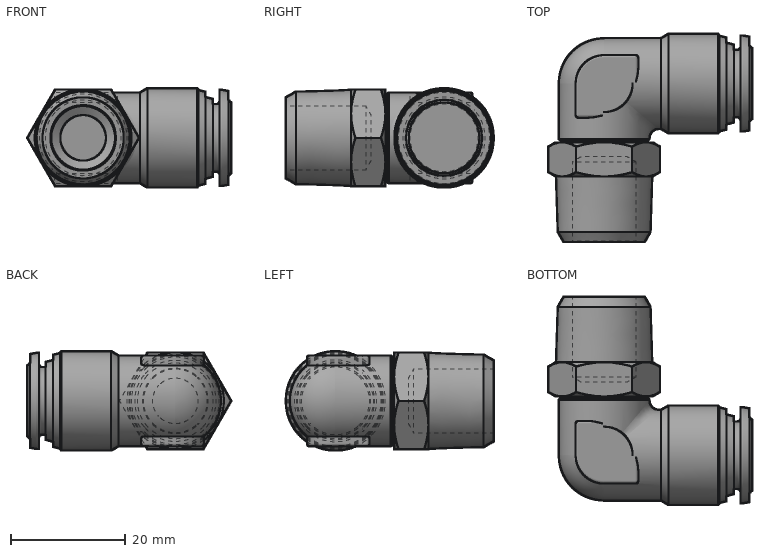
import cadquery as cq
import math

body_radius = 8.0
crotch_fillet = 1.5

pad_radius = 5.0
pad_reach = 6.0
pad_root = 5.0
pad_fillet = 0.5

collar_radius = 17.5 / 2
collar_start = 10.0
collar_full = 11.3
collar_end = 20.0
lip_start = 20.25
lip_radius = 8.4
lip_end = 21.45
lip_end_radius = 8.1
sleeve_radius = 7.2
sleeve_end = 22.75
sleeve_end_radius = 6.85
ring_neck_radius = 5.95
ring_start = 23.9
ring_root_fillet = 0.5
ring_radius = 8.45
ring_rim_end = 24.4
ring_face = 25.5
ring_face_radius = 8.25
ring_nose_radius = 6.65
ring_end = 26.0
ring_end_radius = 6.2

body_end = 10.0
body_chamfer = 0.3
swivel_radius = 6.65
hex_start = 10.3
hex_height = 6.0
hex_sides = 6
hex_flats = 17.0
hex_chamfer_angle = 30.0
thread_length = 11.5
thread_radius = 8.47
thread_taper = 1 / 16
tip_length = 1.8
tip_angle = 30.0

bore_radius = 5.6
bore_mouth_radius = 5.75
bore_depth = 15.0
bore_floor_radius = 4.0
bore_floor_angle = 60.0

hex_end = hex_start + hex_height
hex_corner_diameter = hex_flats / math.cos(math.pi / hex_sides)
thread_end = hex_end + thread_length
tip_start = thread_end - tip_length
tip_start_radius = thread_radius - (tip_start - hex_end) * thread_taper / 2
tip_radius = tip_start_radius - tip_length * math.tan(math.radians(tip_angle))


def revolve_about_y(profile):
    """Revolve (radius, distance along -Y) points about the Y axis."""
    outline = [(radius, -distance) for radius, distance in profile]
    return cq.Workplane("XY").polyline(outline).close().revolve(360, (0, 0), (0, 1))


def make_elbow_body():
    """Two branches, the quarter-round pads over their inside corner, and the corner fillet."""
    x_branch = cq.Workplane("YZ").circle(body_radius).extrude(collar_start)
    y_branch = cq.Workplane("XZ").circle(body_radius).extrude(body_end)
    inner_pads = (
        cq.Workplane("XY")
        .lineTo(pad_radius, 0)
        .radiusArc((0, -pad_radius), pad_radius)
        .close()
        .extrude(body_radius, both=True)
    )
    body = x_branch.union(y_branch).union(inner_pads)
    inside_corner = cq.selectors.BoxSelector(
        (pad_radius / 2, -body_radius, -body_radius),
        (body_radius, -pad_radius / 2, body_radius),
    )
    crotch_edges = body.edges(inside_corner).edges("%ELLIPSE")
    body = crotch_edges.fillet(crotch_fillet)
    return body.faces("<Y").chamfer(body_chamfer)


def make_outer_pad():
    """L-shaped part of the +Z pad, with its outside top edges rounded."""
    pad = (
        cq.Workplane("XY")
        .workplane(offset=pad_root)
        .moveTo(pad_reach, pad_radius)
        .lineTo(0, pad_radius)
        .radiusArc((-pad_radius, 0), -pad_radius)
        .lineTo(-pad_radius, -pad_reach)
        .lineTo(0, -pad_reach)
        .lineTo(0, 0)
        .lineTo(pad_reach, 0)
        .close()
        .extrude(body_radius - pad_root)
    )
    end_corners = pad.edges("|Z").edges(">X or <Y").edges(">Y or <X")
    pad = end_corners.fillet(pad_fillet)
    rim_offset = pad_radius * math.sqrt(0.5)
    rim_arc_middle = (-rim_offset, rim_offset, body_radius)
    rim_arc = pad.faces(">Z").edges(cq.selectors.NearestToPointSelector(rim_arc_middle))
    return rim_arc.fillet(pad_fillet)


def make_tube_end():
    """Collar, guide sleeve and release ring on the +X branch."""
    return (
        cq.Workplane("XY")
        .moveTo(collar_start, 0)
        .lineTo(collar_start, body_radius)
        .lineTo(collar_full, collar_radius)
        .lineTo(collar_end, collar_radius)
        .lineTo(lip_start, lip_radius)
        .lineTo(lip_end, lip_end_radius)
        .lineTo(lip_end, sleeve_radius)
        .lineTo(sleeve_end, sleeve_end_radius)
        .lineTo(sleeve_end, ring_neck_radius)
        .lineTo(ring_start - ring_root_fillet, ring_neck_radius)
        .radiusArc((ring_start, ring_neck_radius + ring_root_fillet), -ring_root_fillet)
        .lineTo(ring_start, ring_radius)
        .lineTo(ring_rim_end, ring_radius)
        .lineTo(ring_face, ring_face_radius)
        .lineTo(ring_face, ring_nose_radius)
        .lineTo(ring_end, ring_end_radius)
        .lineTo(ring_end, 0)
        .close()
        .revolve(360, (0, 0), (1, 0))
    )


def make_hex():
    """Hexagon with two flats facing +Z and -Z and its corners turned down at both ends."""
    blank = (
        cq.Workplane("XZ")
        .workplane(offset=hex_start)
        .polygon(hex_sides, hex_corner_diameter)
        .extrude(hex_height)
    )
    flat_radius = hex_flats / 2
    corner_radius = hex_corner_diameter / 2
    drop = (corner_radius - flat_radius) * math.tan(math.radians(hex_chamfer_angle))
    turned = revolve_about_y(
        [
            (0, hex_start),
            (flat_radius, hex_start),
            (corner_radius, hex_start + drop),
            (corner_radius, hex_end - drop),
            (flat_radius, hex_end),
            (0, hex_end),
        ]
    )
    return blank.intersect(turned)


def make_thread_end():
    """Swivel neck above the hexagon and taper thread blank below it."""
    neck = revolve_about_y(
        [(0, body_end), (swivel_radius, body_end), (swivel_radius, hex_start), (0, hex_start)]
    )
    thread = revolve_about_y(
        [
            (0, hex_end),
            (thread_radius, hex_end),
            (tip_start_radius, tip_start),
            (tip_radius, thread_end),
            (0, thread_end),
        ]
    )
    return neck.union(thread)


def make_bore():
    """Cutter for the bore: 45 degree mouth chamfer, straight wall, coned step, flat floor."""
    cone_height = (bore_radius - bore_floor_radius) / math.tan(math.radians(bore_floor_angle))
    mouth_depth = bore_mouth_radius - bore_radius
    return revolve_about_y(
        [
            (0, thread_end),
            (bore_mouth_radius, thread_end),
            (bore_radius, thread_end - mouth_depth),
            (bore_radius, thread_end - bore_depth + cone_height),
            (bore_floor_radius, thread_end - bore_depth),
            (0, thread_end - bore_depth),
        ]
    )


corner_ball = cq.Workplane("XY").sphere(body_radius)
upper_pad = make_outer_pad()
result = (
    make_elbow_body()
    .union(corner_ball)
    .union(upper_pad)
    .union(upper_pad.mirror("XY"))
    .union(make_tube_end())
    .union(make_hex())
    .union(make_thread_end())
    .cut(make_bore())
)